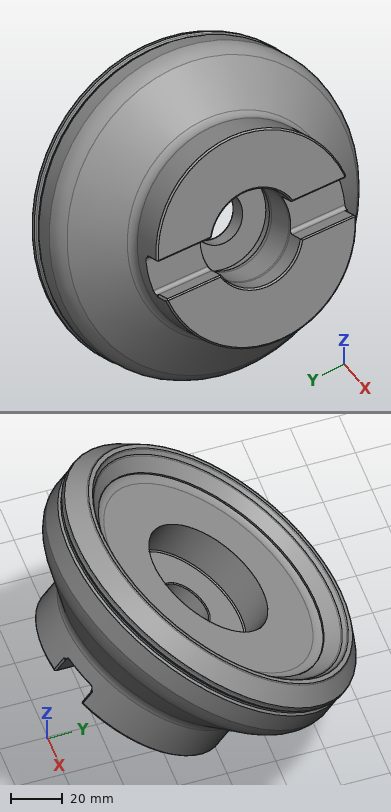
import cadquery as cq
import math

tilt = 36.5
side_lean = 0.45
total_height = 62.8

spigot_radius = 89.0 / 2
spigot_chamfer = 0.7
hub_radius = 137.0 / 2
neck_radius = 46.5
neck_fillet_base = 15.4
cone_base = 19.7
cone_top_radius = 64.6
cone_top = 35.4
shoulder_fillet_top = 42.5

floor_height = total_height - 8.3
floor_radius = 49.3
counterbore_radius = 56.0 / 2
counterbore_floor = total_height - 23.7
counterbore_bevel = 0.5
screw_hole_radius = 22.0 / 2
screw_hole_chamfer = 0.4
mounting_top = total_height - 38.8
relief_base = total_height - 36.9
relief_top = total_height - 31.8
relief_radius = 21.3
mounting_radius = 40.0 / 2
entry_radius = 40.2 / 2
entry_top = 9.1
entry_taper_height = 1.0
bore_chamfer = 0.7

slot_width = 16.4
slot_depth = 9.0
slot_angle = -64.0
slot_edge_chamfer = 0.5
slot_corner_radius = 1.7
slot_end_bevel = 1.0

seat_height = total_height - 10.0
groove_base = total_height - 10.9
seat_outer_radius = 67.7
seat_chamfer_base = total_height - 11.8
plateau_radius = 53.1
plateau_height = total_height - 7.0
ring_inner_edge = total_height - 6.3
ring_radius = 68.8
ring_bevel_radius = 68.3
ring_bevel_base = total_height - 9.4
ring_band_base = total_height - 8.8
ring_band_top = total_height - 7.5
ring_cone_base_radius = 68.7
ring_cone_base = total_height - 6.9
lip_break = 0.4
lip_outer_radius = 62.2
lip_inner_radius = 60.3
throat_radius = 58.4
throat_height = total_height - 2.0
throat_break = 0.3

tool_axis = (
    math.sin(math.radians(side_lean)),
    math.cos(math.radians(side_lean)) * math.sin(math.radians(tilt)),
    math.cos(math.radians(side_lean)) * math.cos(math.radians(tilt)),
)
tool_plane = cq.Plane(origin=(0, 0, 0), xDir=(1, 0, 0), normal=tool_axis)


def revolve_about_axis(profile):
    """Turn a closed profile of (radius, height) about the axis."""
    return profile.close().revolve(360, (0, 0, 0), (0, 1, 0)).rotate((0, 0, 0), (1, 0, 0), 90)


def make_hub_blank():
    profile = (
        cq.Workplane("XY")
        .moveTo(0, 0)
        .lineTo(spigot_radius - spigot_chamfer, 0)
        .lineTo(spigot_radius, spigot_chamfer)
        .lineTo(spigot_radius, neck_fillet_base)
        .tangentArcPoint((neck_radius, cone_base), relative=False)
        .lineTo(cone_top_radius, cone_top)
        .tangentArcPoint((hub_radius, shoulder_fillet_top), relative=False)
        .lineTo(hub_radius, seat_chamfer_base)
        .lineTo(seat_outer_radius, groove_base)
        .lineTo(seat_outer_radius, seat_height)
        .lineTo(plateau_radius, seat_height)
        .lineTo(plateau_radius, plateau_height)
        .lineTo(0, plateau_height)
    )
    return revolve_about_axis(profile)


def make_dish():
    """Shallow dish with a rounded rim, open upward."""
    profile = (
        cq.Workplane("XY")
        .moveTo(0, floor_height)
        .lineTo(floor_radius, floor_height)
        .tangentArcPoint((plateau_radius, plateau_height), relative=False)
        .lineTo(0, plateau_height)
    )
    return revolve_about_axis(profile)


def make_stepped_bore():
    """Counterbore, screw hole, relief and mounting bore as one cutter."""
    profile = (
        cq.Workplane("XY")
        .moveTo(0, 0)
        .lineTo(entry_radius + bore_chamfer, 0)
        .lineTo(entry_radius, bore_chamfer)
        .lineTo(entry_radius, entry_top)
        .lineTo(mounting_radius, entry_top + entry_taper_height)
        .lineTo(mounting_radius, mounting_top)
        .lineTo(entry_radius, relief_base)
        .lineTo(relief_radius, relief_base)
        .lineTo(relief_radius, relief_top)
        .lineTo(screw_hole_radius, relief_top)
        .lineTo(screw_hole_radius, counterbore_floor - screw_hole_chamfer)
        .lineTo(screw_hole_radius + screw_hole_chamfer, counterbore_floor)
        .lineTo(counterbore_radius - counterbore_bevel, counterbore_floor)
        .lineTo(counterbore_radius, counterbore_floor + counterbore_bevel)
        .lineTo(counterbore_radius, floor_height)
        .lineTo(0, floor_height)
    )
    return revolve_about_axis(profile)


def make_slot_flare(end):
    """Wedge that bevels the slot's upright edges at one end; end is its X direction (-1 or 1)."""
    half_width = slot_width / 2
    edge_x = end * math.sqrt(spigot_radius**2 - half_width**2)
    narrow_x = edge_x - end * slot_end_bevel
    wide_x = edge_x + end * slot_end_bevel
    wide_half_width = half_width + 2 * slot_end_bevel
    return (
        cq.Workplane("XY")
        .polyline([
            (narrow_x, -half_width),
            (wide_x, -wide_half_width),
            (wide_x, wide_half_width),
            (narrow_x, half_width),
        ])
        .close()
        .extrude(slot_depth - slot_corner_radius)
    )


def make_slot():
    """Driving slot with rounded roof corners and bevelled mouth."""
    half_width = slot_width / 2
    length = 2 * hub_radius
    channel = (
        cq.Workplane("XY")
        .box(length, slot_width, slot_depth, centered=(True, True, False))
        .edges("|X and >Z")
        .fillet(slot_corner_radius)
    )
    mouth = (
        cq.Workplane("YZ")
        .polyline([
            (-half_width - slot_edge_chamfer, 0),
            (half_width + slot_edge_chamfer, 0),
            (half_width, slot_edge_chamfer),
            (-half_width, slot_edge_chamfer),
        ])
        .close()
        .extrude(length / 2, both=True)
    )
    slot = channel.union(mouth)
    for end in (-1, 1):
        slot = slot.union(make_slot_flare(end))
    return slot.rotate((0, 0, 0), (0, 0, 1), slot_angle)


def make_hub():
    return make_hub_blank().cut(make_dish()).cut(make_stepped_bore()).cut(make_slot())


def make_ring():
    """Rim ring seated around the hub's plateau."""
    profile = (
        cq.Workplane("XY")
        .moveTo(plateau_radius, seat_height)
        .lineTo(seat_outer_radius, seat_height)
        .lineTo(ring_bevel_radius, ring_bevel_base)
        .lineTo(ring_radius, ring_band_base)
        .lineTo(ring_radius, ring_band_top)
        .lineTo(ring_cone_base_radius, ring_cone_base)
        .lineTo(lip_outer_radius + lip_break, total_height - lip_break)
        .lineTo(lip_outer_radius, total_height)
        .lineTo(lip_inner_radius, total_height)
        .lineTo(lip_inner_radius - lip_break, total_height - lip_break)
        .lineTo(throat_radius + throat_break, throat_height + throat_break)
        .lineTo(throat_radius - throat_break, throat_height)
        .lineTo(plateau_radius, ring_inner_edge)
    )
    return revolve_about_axis(profile)


def tilt_into_place(body):
    return body.val().moved(cq.Location(tool_plane))


hub = tilt_into_place(make_hub())
ring = tilt_into_place(make_ring())
result = cq.Compound.makeCompound([hub, ring])